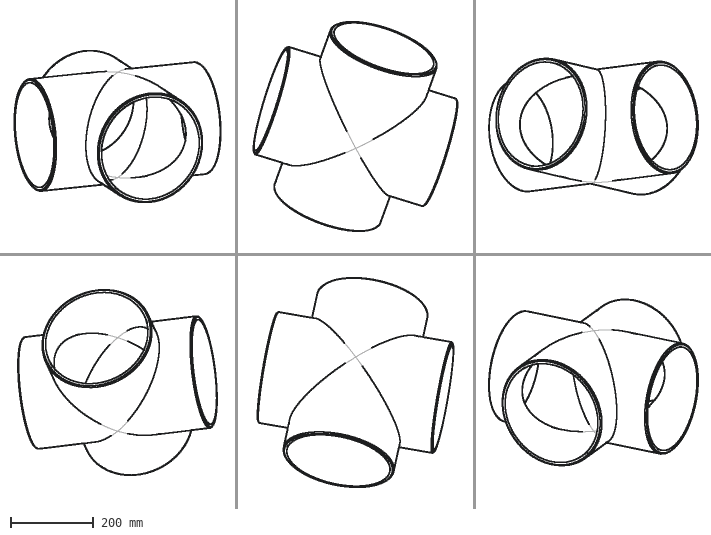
import cadquery as cq

outer_diameter = 273.05
wall_thickness = 9.271
end_to_end_length = 431.8
bevel_axial = 3.0
bevel_radial = 3.0

outer_radius = outer_diameter / 2
inner_radius = outer_radius - wall_thickness
half_length = end_to_end_length / 2


def outer_run():
    """Solid cylinder along X, centred on the origin, with bevelled outer end edges."""
    half_profile = (
        cq.Workplane("XY")
        .moveTo(-half_length, 0)
        .lineTo(-half_length, outer_radius - bevel_radial)
        .lineTo(-half_length + bevel_axial, outer_radius)
        .lineTo(half_length - bevel_axial, outer_radius)
        .lineTo(half_length, outer_radius - bevel_radial)
        .lineTo(half_length, 0)
        .close()
    )
    return half_profile.revolve(360, (0, 0, 0), (1, 0, 0))


def bore():
    """Through bore along X, centred on the origin."""
    return cq.Workplane("YZ").circle(inner_radius).extrude(half_length, both=True)


def crossed(run):
    """Join a run along X with its copy turned to lie along Y."""
    return run.union(run.rotate((0, 0, 0), (0, 0, 1), 90))


result = crossed(outer_run()).cut(crossed(bore()))